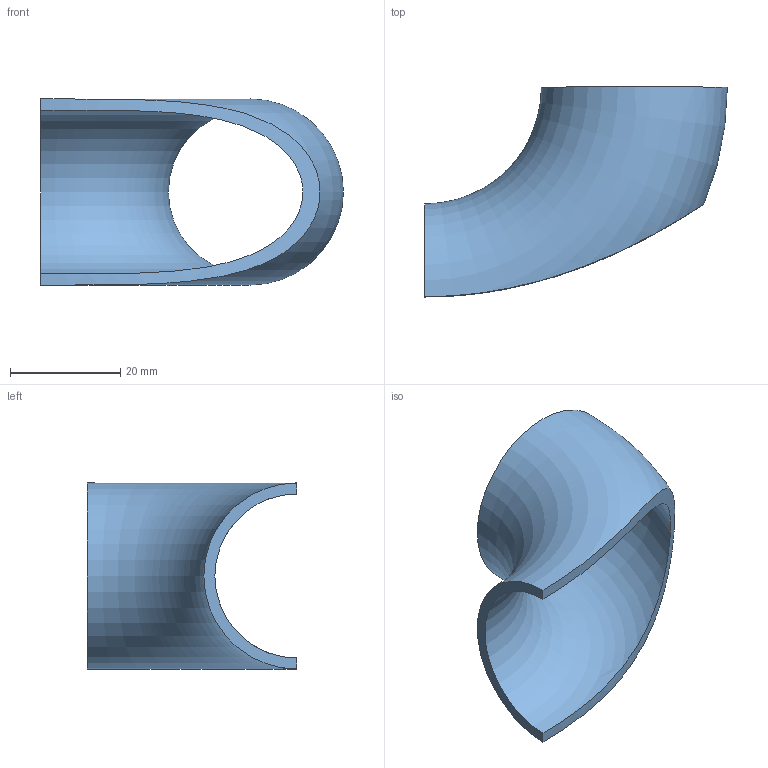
import cadquery as cq

bend_radius = 38.0
outer_radius = 16.85
wall = 2.0
bend_angle = 90.0

inner_radius = outer_radius - wall
clearance = 5.0


def make_elbow():
    """Pipe bend running from the +X axis round to the -Y axis."""
    return (
        cq.Workplane("XZ")
        .center(bend_radius, 0)
        .circle(outer_radius)
        .circle(inner_radius)
        .revolve(bend_angle, (-bend_radius, 0, 0), (-bend_radius, -1, 0))
    )


def saddle_y(x):
    """Mitre parabola along which the elbow meets an equal straight pipe on y = -bend_radius.

    Its points are as far from the bend axis as from the line y = -2 * bend_radius.
    """
    return x**2 / (4 * bend_radius) - bend_radius


def make_saddle_trim():
    """Body that keeps only the material on the bend-axis side of the mitre parabola."""
    reach = bend_radius + outer_radius + clearance
    half_height = outer_radius + clearance
    return (
        cq.Workplane("XY")
        .workplane(offset=-half_height)
        .moveTo(0, saddle_y(0))
        .bezier([(reach / 2, saddle_y(0)), (reach, saddle_y(reach))], includeCurrent=True)
        .lineTo(reach, clearance)
        .lineTo(0, clearance)
        .close()
        .extrude(2 * half_height)
    )


result = make_elbow().intersect(make_saddle_trim())